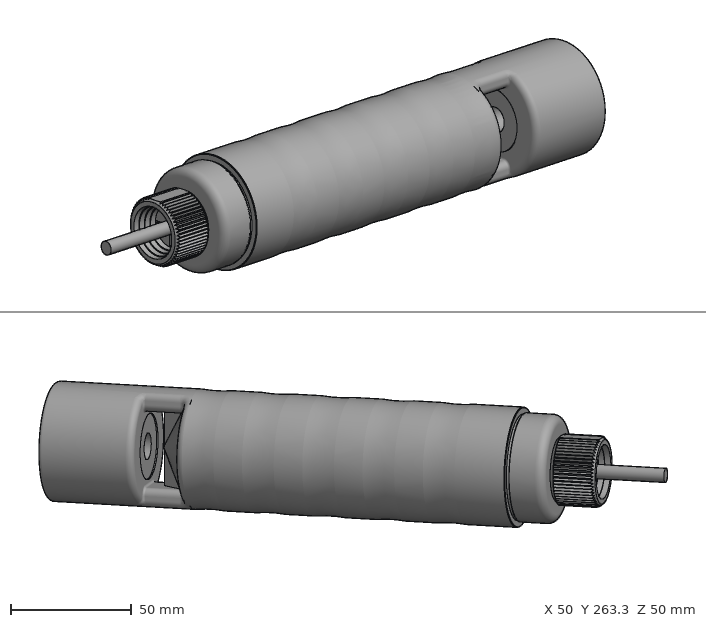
import cadquery as cq
import math

TOTAL_LENGTH = 263.32
BODY_RADIUS = 25.0

BUTTON_RADIUS = 17.5
BUTTON_HEIGHT = 0.7
HEAD_END_FILLET = 1.7
HEAD_LENGTH = 40.8
HEAD_RECESS_RADIUS = 13.8
HEAD_RECESS_DEPTH = 0.6
HEAD_BORE_RADIUS = 5.5
HEAD_BORE_DEPTH = 20.0

WINDOW_LENGTH = 18.1
PILLAR_HALF_WIDTH = 9.2
PILLAR_INNER_Z = 16.2
WINDOW_FILLET = 3.0
HEAD_CORNER_RADIUS = 1.0
GRIP_CORNER_RADIUS = 2.2

CONE_HEIGHT = 11.5
CONE_TIP_RADIUS = 0.8
RIDGE_HALF_WIDTH = 7.0

SCALLOP_COUNT = 5
SCALLOP_PITCH = 25.87
SCALLOP_WIDTH = 13.6
SCALLOP_DEPTH = 0.4
GRIP_LENGTH = 141.5
GRIP_END_CHAMFER = 0.3

NECK_RADIUS = 22.2
NECK_LENGTH = 1.2
COLLAR_RADIUS = 22.7
COLLAR_LENGTH = 16.3
COLLAR_FILLET = 3.75

NUT_RADIUS = 15.0
NUT_LENGTH = 19.2
NUT_CHAMFER = 1.6
NUT_FLAT_Z = 14.2
KNURL_COUNT = 60
KNURL_DEPTH = 1.0
KNURL_GROOVE_SHARE = 0.9
KNURL_PLAIN_HALF_WIDTH = 2.5
MOUTH_RADIUS = 11.3
MOUTH_FLOOR_RADIUS = 8.5
MOUTH_DEPTH = 10.0
MOUTH_STEP_COUNT = 4
MOUTH_LEDGE = 0.4

JAW_SLOT_WIDTH = 1.0
JAW_SLOT_DEPTH = 4.0
ROD_RADIUS = 3.0

CUT_MARGIN = 1.0
EDGE_TOLERANCE = 0.1
RIDGE_EMBEDMENT = 1.0

head_top_y = -BUTTON_HEIGHT
window_top_y = head_top_y - HEAD_LENGTH
grip_top_y = window_top_y - WINDOW_LENGTH
grip_bottom_y = grip_top_y - GRIP_LENGTH
collar_top_y = grip_bottom_y - NECK_LENGTH
collar_bottom_y = grip_bottom_y - COLLAR_LENGTH
nut_bottom_y = collar_bottom_y - NUT_LENGTH
mouth_floor_y = nut_bottom_y + MOUTH_DEPTH


def rod_along_y(radius, start_y, end_y):
    """Cylinder on the Y axis between two positions, start_y above end_y."""
    return cq.Workplane("XZ", origin=(0, start_y, 0)).circle(radius).extrude(start_y - end_y)


def cone_along_y(start_radius, start_y, end_radius, end_y):
    """Solid cone on the Y axis, between two radii at two positions."""
    outline = [(0, start_y), (start_radius, start_y), (end_radius, end_y), (0, end_y)]
    return cq.Workplane("XY").polyline(outline).close().revolve(360, (0, 0, 0), (0, 1, 0))


def make_scallop_cutter(band_top_y):
    """Ring that hollows one scalloped band: a shallow arc just under the grip surface."""
    band_bottom_y = band_top_y - SCALLOP_WIDTH
    middle = (BODY_RADIUS - SCALLOP_DEPTH, band_top_y - SCALLOP_WIDTH / 2)
    outline = (
        cq.Workplane("XY")
        .moveTo(BODY_RADIUS, band_top_y)
        .threePointArc(middle, (BODY_RADIUS, band_bottom_y))
        .close()
    )
    return outline.revolve(360, (0, 0, 0), (0, 1, 0))


def make_pillar(side):
    """One pillar blank, above (side = 1) or below (side = -1) the axis, inner edges rounded."""
    height = BODY_RADIUS + CUT_MARGIN - PILLAR_INNER_Z
    center_y = (window_top_y + grip_top_y) / 2
    center_z = side * (PILLAR_INNER_Z + height / 2)
    inner_edges = "|Y and <Z" if side > 0 else "|Y and >Z"
    blank = cq.Workplane("XY").box(2 * PILLAR_HALF_WIDTH, WINDOW_LENGTH, height)
    return blank.edges(inner_edges).fillet(WINDOW_FILLET).translate((0, center_y, center_z))


def is_window_rim(edge):
    """True for the edges of the window openings that lie on the outer cylinder."""
    middle = edge.positionAt(0.5)
    on_surface = math.hypot(middle.x, middle.z) > BODY_RADIUS - EDGE_TOLERANCE
    low_enough = middle.y < window_top_y + EDGE_TOLERANCE
    high_enough = middle.y > grip_top_y - EDGE_TOLERANCE
    return on_surface and low_enough and high_enough


def make_head_and_grip():
    """Head and grip as one cylinder with the window cut through and its rim rounded."""
    shaft = rod_along_y(BODY_RADIUS, head_top_y, grip_bottom_y)
    opening = rod_along_y(BODY_RADIUS + CUT_MARGIN, window_top_y, grip_top_y)
    for side in (1, -1):
        opening = opening.cut(make_pillar(side))
    opening = opening.edges("|Z and >Y").fillet(HEAD_CORNER_RADIUS)
    opening = opening.edges("|Z and <Y").fillet(GRIP_CORNER_RADIUS)
    shaft = shaft.cut(opening)
    rim = [edge for edge in shaft.edges().vals() if is_window_rim(edge)]
    shaft = shaft.newObject(rim).fillet(WINDOW_FILLET)
    shaft = shaft.faces(">Y").edges().fillet(HEAD_END_FILLET)
    shaft = shaft.faces("<Y").edges().chamfer(GRIP_END_CHAMFER)

    first_band_y = grip_top_y - WINDOW_FILLET
    for index in range(SCALLOP_COUNT):
        shaft = shaft.cut(make_scallop_cutter(first_band_y - index * SCALLOP_PITCH))

    recess = rod_along_y(HEAD_RECESS_RADIUS, window_top_y + HEAD_RECESS_DEPTH, window_top_y)
    bore = rod_along_y(HEAD_BORE_RADIUS, window_top_y + HEAD_BORE_DEPTH, window_top_y)
    button = rod_along_y(BUTTON_RADIUS, 0, head_top_y)
    return shaft.cut(recess).cut(bore).union(button)


def make_cone_and_ridge():
    """Cone on the grip end face, crossed by a roof-shaped ridge that joins both pillars."""
    base_radius = BODY_RADIUS - WINDOW_FILLET
    tip_y = grip_top_y + CONE_HEIGHT
    cone = cone_along_y(CONE_TIP_RADIUS, tip_y, base_radius, grip_top_y)
    ridge_reach = PILLAR_INNER_Z + RIDGE_EMBEDMENT
    roof = [(-RIDGE_HALF_WIDTH, grip_top_y), (0, tip_y), (RIDGE_HALF_WIDTH, grip_top_y)]
    ridge = cq.Workplane("XY").polyline(roof).close().extrude(ridge_reach, both=True)
    return cone.union(ridge)


def make_collar():
    """Collar below the grip with a short neck above it and a rounded lower edge."""
    neck = rod_along_y(NECK_RADIUS, grip_bottom_y, collar_top_y)
    collar = rod_along_y(COLLAR_RADIUS, collar_top_y, collar_bottom_y)
    return neck.union(collar.faces("<Y").edges().fillet(COLLAR_FILLET))


def make_knurl_cutters():
    """V grooves around the nut, leaving a plain strip on the top and bottom flats."""
    half_width = math.pi * NUT_RADIUS / KNURL_COUNT * KNURL_GROOVE_SHARE
    root_radius = NUT_RADIUS - KNURL_DEPTH
    outer_radius = NUT_RADIUS + CUT_MARGIN
    outer_half_width = half_width * (1 + CUT_MARGIN / KNURL_DEPTH)
    outline = [(root_radius, 0), (outer_radius, -outer_half_width), (outer_radius, outer_half_width)]
    groove = (
        cq.Workplane("XZ", origin=(0, collar_bottom_y - NUT_CHAMFER, 0))
        .polyline(outline)
        .close()
        .extrude(NUT_LENGTH - NUT_CHAMFER)
    )
    step = 360 / KNURL_COUNT
    cutters = []
    for index in range(KNURL_COUNT):
        angle = (index + 0.5) * step
        offset = abs(root_radius * math.cos(math.radians(angle)))
        if offset > KNURL_PLAIN_HALF_WIDTH + half_width:
            cutters.append(groove.rotate((0, 0, 0), (0, 1, 0), angle).val())
    return cutters


def make_mouth_steps():
    """Tapered rings of the mouth, each a ledge smaller than the one below it."""
    ring_depth = MOUTH_DEPTH / MOUTH_STEP_COUNT
    step_in = (MOUTH_RADIUS - MOUTH_FLOOR_RADIUS) / MOUTH_STEP_COUNT
    steps = []
    for index in range(MOUTH_STEP_COUNT):
        lower_radius = MOUTH_RADIUS - index * step_in
        upper_radius = lower_radius - step_in + MOUTH_LEDGE
        lower_y = nut_bottom_y + index * ring_depth
        steps.append(cone_along_y(upper_radius, lower_y + ring_depth, lower_radius, lower_y))
    return steps


def make_nut():
    """Knurled nut with two flats, a tapered mouth and the slotted jaws at its floor."""
    nut = rod_along_y(NUT_RADIUS, collar_bottom_y, nut_bottom_y).edges().chamfer(NUT_CHAMFER)
    nut = nut.intersect(cq.Workplane("XY").box(2 * NUT_RADIUS, 2 * TOTAL_LENGTH, 2 * NUT_FLAT_Z))
    nut = nut.newObject([nut.val().cut(*make_knurl_cutters())])
    for step in make_mouth_steps():
        nut = nut.cut(step)
    slot_y = mouth_floor_y + JAW_SLOT_DEPTH / 2
    slot = cq.Workplane("XY").box(2 * MOUTH_FLOOR_RADIUS, JAW_SLOT_DEPTH, JAW_SLOT_WIDTH)
    for angle in (0, 90):
        nut = nut.cut(slot.rotate((0, 0, 0), (0, 1, 0), angle).translate((0, slot_y, 0)))
    return nut


rod = rod_along_y(ROD_RADIUS, collar_bottom_y, -TOTAL_LENGTH)

result = (
    make_head_and_grip()
    .union(make_cone_and_ridge())
    .union(make_collar())
    .union(make_nut())
    .union(rod)
)